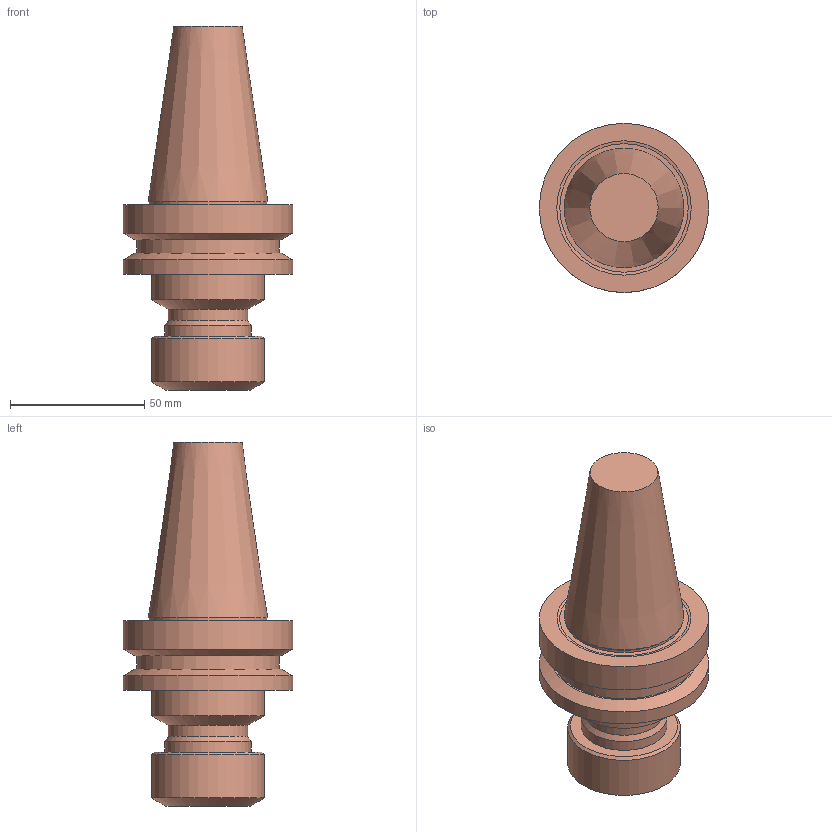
import cadquery as cq
import math


gauge_diameter = 44.45
taper_ratio = 7 / 24
taper_length = 65.4
taper_small_diameter = gauge_diameter - taper_ratio * taper_length
relief_diameter = 43.85

flange_diameter = 62.98
flange_top_z = -1.0
flange_bottom_z = -27.0
recess_floor_z = -1.25
recess_floor_diameter = 47.8
recess_mouth_diameter = 50.0
groove_center_z = -16.6
groove_mouth_width = 10.0
groove_floor_width = 5.0
groove_flank_angle = math.radians(30)
groove_floor_diameter = 53.0

collar_diameter = 42.0
collar_cone_angle = math.radians(30)
neck_diameter = 29.5
neck_top_z = -40.0
neck_bottom_z = -44.0
spigot_diameter = 32.0
spigot_top_z = -46.0

nut_diameter = 42.0
nut_top_z = -50.0
nut_bottom_z = -70.0
nut_top_chamfer = 1.0
nut_nose_height = 3.0
nut_nose_angle = math.radians(30)


def taper_profile():
    """Shank outline from the tip on the axis down to the relief below the gauge plane."""
    return [
        (0, taper_length),
        (taper_small_diameter / 2, taper_length),
        (gauge_diameter / 2, 0),
        (relief_diameter / 2, 0),
    ]


def flange_profile():
    """Recessed top face, rim, gripper groove and lower rim of the flange."""
    rim_radius = flange_diameter / 2
    floor_radius = groove_floor_diameter / 2
    half_mouth = groove_mouth_width / 2
    half_floor = groove_floor_width / 2
    flank_foot_radius = rim_radius - (half_mouth - half_floor) / math.tan(groove_flank_angle)
    return [
        (relief_diameter / 2, recess_floor_z),
        (recess_floor_diameter / 2, recess_floor_z),
        (recess_mouth_diameter / 2, flange_top_z),
        (rim_radius, flange_top_z),
        (rim_radius, groove_center_z + half_mouth),
        (flank_foot_radius, groove_center_z + half_floor),
        (floor_radius, groove_center_z + half_floor),
        (floor_radius, groove_center_z - half_floor),
        (flank_foot_radius, groove_center_z - half_floor),
        (rim_radius, groove_center_z - half_mouth),
        (rim_radius, flange_bottom_z),
    ]


def neck_profile():
    """Collar with its conical underside, the neck and the spigot entering the nut."""
    collar_radius = collar_diameter / 2
    neck_radius = neck_diameter / 2
    spigot_radius = spigot_diameter / 2
    cone_height = (collar_radius - neck_radius) * math.tan(collar_cone_angle)
    return [
        (collar_radius, flange_bottom_z),
        (collar_radius, neck_top_z + cone_height),
        (neck_radius, neck_top_z),
        (neck_radius, neck_bottom_z),
        (spigot_radius, spigot_top_z),
        (spigot_radius, nut_top_z),
    ]


def nut_profile():
    """Nut with a chamfered top edge and a conical nose, ending on the axis."""
    nut_radius = nut_diameter / 2
    nose_radius = nut_radius - nut_nose_height / math.tan(nut_nose_angle)
    return [
        (nut_radius - nut_top_chamfer, nut_top_z),
        (nut_radius, nut_top_z - nut_top_chamfer),
        (nut_radius, nut_bottom_z + nut_nose_height),
        (nose_radius, nut_bottom_z),
        (0, nut_bottom_z),
    ]


outline = taper_profile() + flange_profile() + neck_profile() + nut_profile()
result = cq.Workplane("XZ").polyline(outline).close().revolve(360, (0, 0, 0), (0, 1, 0))